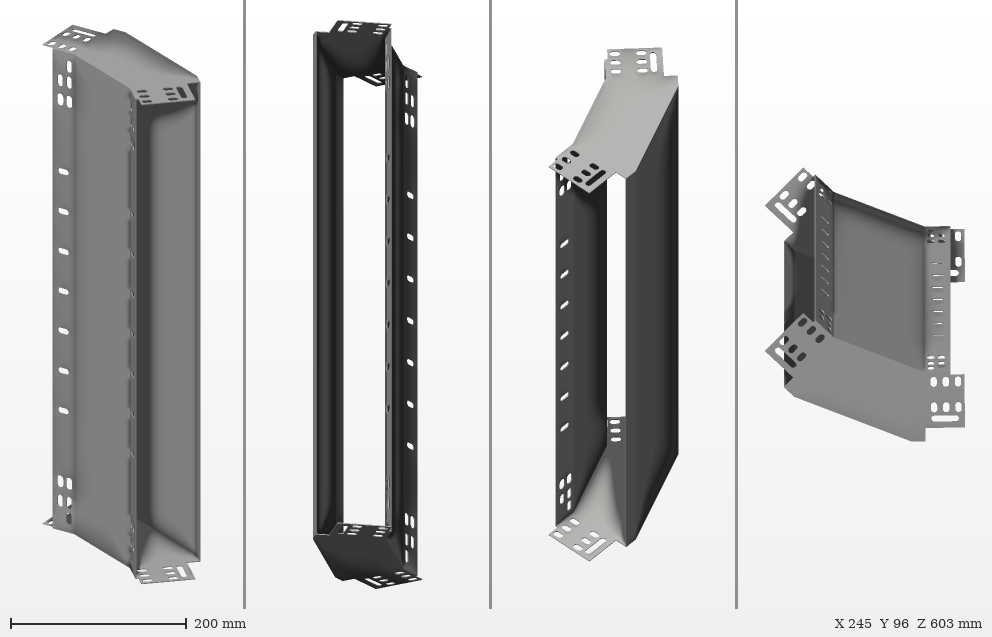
import cadquery as cq
import math

HEIGHT = 603.0
DEPTH = 82.0
SHEET = 1.1
BEND_ANGLE = 22.5
BEND_X = 55.5

WEB_END = 29.5
WING_END = 45.0
WING_FRONT = 3.5
WING_BACK = 66.5
LID_END = 0.0

TAB_DEPTH = 24.0

WING_SLOT_WIDTH = 7.0
WING_SLOT_LENGTH = 12.0
WING_SLOT_MIDDLE = 24.0
WING_SLOT_PITCH = 14.0
WING_SLOT_ROWS = (12.0, 42.0)
LONG_SLOT_LENGTH = 31.5
LONG_SLOT_ROW = 55.5

INNER_COLUMN = 7.0
OUTER_COLUMN = 19.5
END_SLOT_LENGTH = 15.0
NARROW_SLOT_WIDTH = 6.5
WIDE_SLOT_WIDTH = 8.5
FIRST_ROW_INSET = 17.5
SECOND_ROW_INSET = 37.5
THIRD_ROW_INSET = 61.5
CROSS_SLOT_COUNT = 7
CROSS_SLOT_PITCH = 50.0
CROSS_SLOT_LENGTH = 14.5
CROSS_SLOT_WIDTH = 7.0
CROSS_SLOT_COLUMN = 15.0

COS = math.cos(math.radians(BEND_ANGLE))
SIN = math.sin(math.radians(BEND_ANGLE))
BEND_SHIFT = math.tan(math.radians(BEND_ANGLE / 2))
SIDES = (-1, 1)
CUTTER_DEPTH = 4 * SHEET


def bend_point(depth):
    """Point of the right-hand bend line at a depth behind the web front face."""
    return (BEND_X + depth * BEND_SHIFT, depth)


def end_point(along, depth):
    """Point on the right-hand leaning end."""
    return (BEND_X + along * COS + depth * SIN, depth * COS - along * SIN)


def mirrored_prism(right_half, bottom, height):
    """Prism over an outline given by its right half, from front to back."""
    left_half = [(-x, y) for x, y in reversed(right_half)]
    outline = cq.Workplane("XY", origin=(0, 0, bottom)).polyline(right_half + left_half).close()
    return outline.extrude(height)


def bent_panel(front, end):
    """Full-height bent sheet whose front face lies at the given depth."""
    back = front + SHEET
    right_half = [bend_point(front), end_point(end, front), end_point(end, back), bend_point(back)]
    return mirrored_prism(right_half, -HEIGHT / 2, HEIGHT)


def side_plate(bottom):
    """Horizontal plate with a wing at each end."""
    lid_inside = DEPTH - SHEET
    right_half = [
        bend_point(0),
        end_point(WEB_END, 0),
        end_point(WEB_END, WING_FRONT),
        end_point(WING_END, WING_FRONT),
        end_point(WING_END, WING_BACK),
        end_point(LID_END, WING_BACK),
        end_point(LID_END, lid_inside),
        bend_point(lid_inside),
    ]
    return mirrored_prism(right_half, bottom, SHEET)


def lid_tabs():
    """Top and bottom tabs of the lid."""
    half_width, inside = bend_point(DEPTH - SHEET)
    tab_size = (2 * half_width, TAB_DEPTH - SHEET, SHEET)
    tabs = cq.Workplane("XY")
    for side in SIDES:
        centre = (0, inside - tab_size[1] / 2, side * (HEIGHT - SHEET) / 2)
        tabs = tabs.add(cq.Workplane("XY").box(*tab_size).translate(centre))
    return tabs


def wing_slots(side):
    """Vertical cutters for the slots of the upper and lower wings on one side."""
    def cutter(along, depth, length, turn):
        x, y = end_point(along, depth)
        slot = cq.Workplane("XY", origin=(side * x, y, -HEIGHT)).slot2D(length, WING_SLOT_WIDTH, turn)
        return slot.extrude(2 * HEIGHT).val()

    lean = -side * BEND_ANGLE
    cutters = [cutter(WING_END / 2, LONG_SLOT_ROW, LONG_SLOT_LENGTH, lean)]
    for row in WING_SLOT_ROWS:
        for step in (-1, 0, 1):
            along = WING_SLOT_MIDDLE + step * WING_SLOT_PITCH
            cutters.append(cutter(along, row, WING_SLOT_LENGTH, lean + 90))
    return cutters


def web_slots(side):
    """Cutters for the slots of the leaning web end on one side."""
    outward = (side * COS, -SIN, 0)
    rearward = (side * SIN, COS, 0)

    def cutter(along, z, length, width, turn):
        x, y = end_point(along, -CUTTER_DEPTH / 2)
        plane = cq.Plane(origin=(side * x, y, z), xDir=outward, normal=rearward)
        return cq.Workplane(plane).slot2D(length, width, turn).extrude(CUTTER_DEPTH).val()

    upright_slots = [
        (INNER_COLUMN, FIRST_ROW_INSET, NARROW_SLOT_WIDTH),
        (INNER_COLUMN, SECOND_ROW_INSET, NARROW_SLOT_WIDTH),
        (OUTER_COLUMN, SECOND_ROW_INSET, NARROW_SLOT_WIDTH),
        (INNER_COLUMN, THIRD_ROW_INSET, WIDE_SLOT_WIDTH),
        (OUTER_COLUMN, THIRD_ROW_INSET, WIDE_SLOT_WIDTH),
    ]
    cutters = []
    for column, inset, width in upright_slots:
        for end in (-1, 1):
            z = end * (HEIGHT / 2 - inset)
            cutters.append(cutter(column, z, END_SLOT_LENGTH, width, 90))
    for index in range(CROSS_SLOT_COUNT):
        z = (index - (CROSS_SLOT_COUNT - 1) / 2) * CROSS_SLOT_PITCH
        cutters.append(cutter(CROSS_SLOT_COLUMN, z, CROSS_SLOT_LENGTH, CROSS_SLOT_WIDTH, 0))
    return cutters


def make_tray():
    """Front web with two side plates, slotted and recessed for the lid tabs."""
    tray = bent_panel(0, WEB_END)
    tray = tray.union(side_plate(-HEIGHT / 2))
    tray = tray.union(side_plate(HEIGHT / 2 - SHEET))
    for side in SIDES:
        for cutter in wing_slots(side) + web_slots(side):
            tray = tray.cut(cq.Workplane(cutter))
    for tab in lid_tabs().vals():
        tray = tray.cut(cq.Workplane(tab))
    return tray


def make_lid():
    """Bent back panel with a tab along its top and bottom edges."""
    lid = bent_panel(DEPTH - SHEET, LID_END)
    for tab in lid_tabs().vals():
        lid = lid.union(cq.Workplane(tab))
    return lid


tray = make_tray()
lid = make_lid()
result = cq.Compound.makeCompound([*tray.solids().vals(), *lid.solids().vals()])